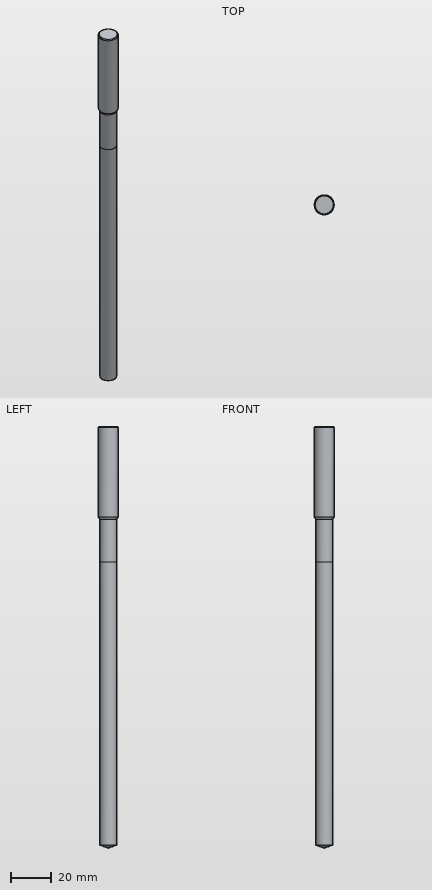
import cadquery as cq
import math

total_length = 210.0
shank_diameter = 10.0
shank_length = 45.0
shank_chamfer = 0.5
cutting_diameter = 8.5
cutting_length = 142.5
point_angle = 140.0
shoulder_half_angle = 30.0

shank_radius = shank_diameter / 2
cutting_radius = cutting_diameter / 2
point_height = cutting_radius / math.tan(math.radians(point_angle / 2))
shoulder_height = (shank_radius - cutting_radius) / math.tan(math.radians(shoulder_half_angle))
shoulder_top = total_length - shank_length
shoulder_bottom = shoulder_top - shoulder_height


def turned_body(profile):
    """Revolve a closed (radius, height) profile about the Z axis."""
    return cq.Workplane("XZ").polyline(profile).close().revolve(360, (0, 0), (0, 1))


holder = turned_body(
    [
        (0, cutting_length),
        (cutting_radius, cutting_length),
        (cutting_radius, shoulder_bottom),
        (shank_radius, shoulder_top),
        (shank_radius, total_length - shank_chamfer),
        (shank_radius - shank_chamfer, total_length),
        (0, total_length),
    ]
)

cutting_part = turned_body(
    [
        (0, 0),
        (cutting_radius, point_height),
        (cutting_radius, cutting_length),
        (0, cutting_length),
    ]
)

result = cq.Compound.makeCompound([holder.val(), cutting_part.val()])